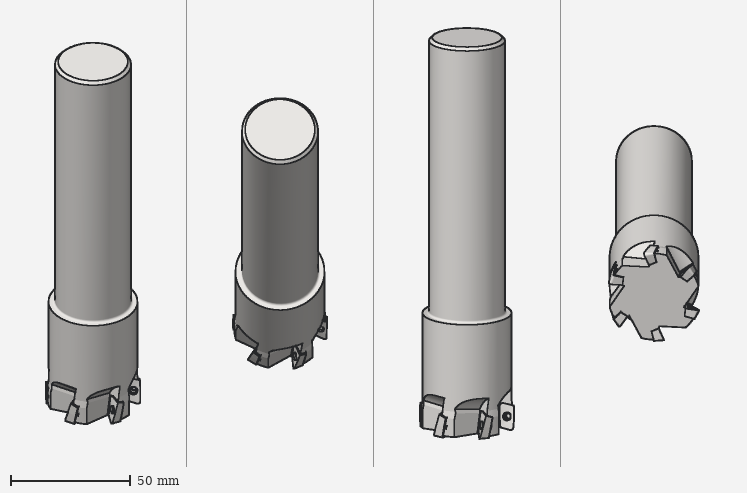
import cadquery as cq
import math

TOOTH_COUNT = 6
TOOTH_PITCH = 360 / TOOTH_COUNT

TOTAL_LENGTH = 170.0
SHANK_DIAMETER = 32.0
SHANK_CHAMFER = 1.4
SHOULDER_HEIGHT = 50.0
SHOULDER_FILLET = 1.0
BODY_DIAMETER = 37.4
HEAD_DIAMETER = 38.5
HEAD_BOTTOM = 0.8
HEAD_CONE_START = 8.8
HEAD_CONE_END = 11.9

GULLET_CORNER_RADIAL = 13.5
GULLET_CORNER_TANGENTIAL = 0.7
GULLET_FLOOR_ANGLE = 16.0
GULLET_TILT = 8.0
GULLET_LENGTH = 15.3
GULLET_LEDGE_BOTTOM = 9.7
GULLET_LEDGE_TOP = 11.4
GULLET_LEDGE_DEPTH = 0.3
GULLET_EXIT_HEIGHT = 6.3
GULLET_EXIT_DEPTH = 6.5
GULLET_EXIT_RADIUS = 11.9
GULLET_REACH = 13.6
GULLET_OVERRUN = 3.4

INSERT_TILT = 11.0
INSERT_OUTER_EDGE = 20.0
INSERT_WIDTH = 6.5
INSERT_LENGTH = 11.7
INSERT_END_SLOPE = 0.8
INSERT_NOSE_RADIUS = 1.4
INSERT_SIDE_SLOPE = 0.3
INSERT_SIDE_CROWN = 0.1
INSERT_RELIEF_ANGLE = 12.0
INSERT_HIGH_THICKNESS = 4.2
INSERT_LOW_THICKNESS = 3.0
INSERT_HOLE_DIAMETER = 2.7
INSERT_COUNTERBORE_DIAMETER = 3.4
INSERT_COUNTERBORE_FLOOR = 2.7
SCREW_HOLE_DIAMETER = 2.5
SCREW_HOLE_DEPTH = 0.5


def make_gullet_plane():
    """X runs out from the gullet floor, Y up along it, and the normal along the cut."""
    floor = math.radians(GULLET_FLOOR_ANGLE)
    tilt = math.radians(GULLET_TILT)
    return cq.Plane(
        origin=(GULLET_CORNER_RADIAL, GULLET_CORNER_TANGENTIAL, 0),
        xDir=(math.cos(floor), math.sin(floor), 0),
        normal=(
            math.sin(floor) * math.cos(tilt),
            -math.cos(floor) * math.cos(tilt),
            math.sin(tilt),
        ),
    )


def make_seat_plane():
    """X is radial, Y up along the seat, and the normal points to the cutting side."""
    tilt = math.radians(INSERT_TILT)
    normal = cq.Vector(0, -math.cos(tilt), math.sin(tilt))
    upward = cq.Vector(0, math.sin(tilt), math.cos(tilt))
    center = cq.Vector(INSERT_OUTER_EDGE - INSERT_WIDTH / 2, 0, 0)
    end_angle = math.atan(INSERT_END_SLOPE / INSERT_WIDTH)
    nose_lift = INSERT_NOSE_RADIUS * (math.tan(end_angle) + 1 / math.cos(end_angle) - 1)
    center += upward * (INSERT_LENGTH / 2 - nose_lift) - normal * INSERT_HIGH_THICKNESS
    return cq.Plane(origin=center, xDir=(1, 0, 0), normal=normal)


SEAT_PLANE = make_seat_plane()


def make_holder_blank():
    """Turned shape: flared head, body and chamfered shank."""
    shank_radius = SHANK_DIAMETER / 2
    body_radius = BODY_DIAMETER / 2
    head_radius = HEAD_DIAMETER / 2
    fillet_middle = SHOULDER_FILLET * (1 - math.sqrt(0.5))
    return (
        cq.Workplane("XZ")
        .moveTo(0, HEAD_BOTTOM)
        .lineTo(head_radius, HEAD_BOTTOM)
        .lineTo(head_radius, HEAD_CONE_START)
        .lineTo(body_radius, HEAD_CONE_END)
        .lineTo(body_radius, SHOULDER_HEIGHT)
        .lineTo(shank_radius + SHOULDER_FILLET, SHOULDER_HEIGHT)
        .threePointArc(
            (shank_radius + fillet_middle, SHOULDER_HEIGHT + fillet_middle),
            (shank_radius, SHOULDER_HEIGHT + SHOULDER_FILLET),
        )
        .lineTo(shank_radius, TOTAL_LENGTH - SHANK_CHAMFER)
        .lineTo(shank_radius - SHANK_CHAMFER, TOTAL_LENGTH)
        .lineTo(0, TOTAL_LENGTH)
        .close()
        .revolve(360, (0, 0, 0), (0, 1, 0))
    )


def make_gullet_cutter():
    """Flat floor, a ledge into a deeper floor above it, and a round run-out at the top."""
    exit_top = GULLET_LEDGE_TOP + GULLET_EXIT_HEIGHT
    return (
        cq.Workplane(make_gullet_plane())
        .moveTo(0, -GULLET_OVERRUN)
        .lineTo(0, GULLET_LEDGE_BOTTOM)
        .lineTo(-GULLET_LEDGE_DEPTH, GULLET_LEDGE_TOP)
        .radiusArc((GULLET_EXIT_DEPTH - GULLET_LEDGE_DEPTH, exit_top), GULLET_EXIT_RADIUS)
        .lineTo(GULLET_REACH, exit_top)
        .lineTo(GULLET_REACH, -GULLET_OVERRUN)
        .close()
        .extrude(GULLET_LENGTH)
    )


def make_insert_prism():
    """Flanks of the insert, narrowing to the seat.

    Each side bends at its middle, and the two cutting noses are rounded.
    """
    half_width = INSERT_WIDTH / 2
    half_length = INSERT_LENGTH / 2
    side_step = INSERT_SIDE_SLOPE / 2 - INSERT_SIDE_CROWN
    outline = (
        cq.Sketch()
        .polygon(
            [
                (half_width, -half_length),
                (half_width - side_step, 0),
                (half_width - INSERT_SIDE_SLOPE, half_length - INSERT_END_SLOPE),
                (-half_width, half_length),
                (side_step - half_width, 0),
                (INSERT_SIDE_SLOPE - half_width, INSERT_END_SLOPE - half_length),
                (half_width, -half_length),
            ]
        )
        .vertices("<Y or >Y")
        .fillet(INSERT_NOSE_RADIUS)
    )
    return (
        cq.Workplane(SEAT_PLANE)
        .workplane(offset=INSERT_HIGH_THICKNESS)
        .placeSketch(outline)
        .extrude(-INSERT_HIGH_THICKNESS, taper=INSERT_RELIEF_ANGLE)
    )


def make_rake_envelope():
    """Block whose top is twisted: high at the two cutting noses, low at the other corners."""
    half_width = INSERT_WIDTH / 2
    half_length = INSERT_LENGTH / 2

    def section(across, lower_thickness, upper_thickness):
        corners = [
            (across, -half_length, 0),
            (across, half_length, 0),
            (across, half_length, upper_thickness),
            (across, -half_length, lower_thickness),
        ]
        points = [SEAT_PLANE.toWorldCoords(corner) for corner in corners]
        return cq.Wire.makePolygon(points, close=True)

    inner = section(-half_width, INSERT_LOW_THICKNESS, INSERT_HIGH_THICKNESS)
    outer = section(half_width, INSERT_HIGH_THICKNESS, INSERT_LOW_THICKNESS)
    return cq.Workplane(cq.Solid.makeLoft([inner, outer], ruled=True))


def make_insert(prism):
    """Twist the rake face, then drill the screw hole and its counterbore."""
    hole = cq.Workplane(SEAT_PLANE).circle(INSERT_HOLE_DIAMETER / 2).extrude(INSERT_HIGH_THICKNESS)
    counterbore = (
        cq.Workplane(SEAT_PLANE)
        .workplane(offset=INSERT_COUNTERBORE_FLOOR)
        .circle(INSERT_COUNTERBORE_DIAMETER / 2)
        .extrude(INSERT_HIGH_THICKNESS)
    )
    return prism.intersect(make_rake_envelope()).cut(hole).cut(counterbore)


def make_screw_hole():
    """Shallow hole in the holder, below the insert seat."""
    return cq.Workplane(SEAT_PLANE).circle(SCREW_HOLE_DIAMETER / 2).extrude(-SCREW_HOLE_DEPTH)


def at_tooth(shape, index):
    """Turn a shape from tooth 0 to the given tooth."""
    return shape.rotate((0, 0, 0), (0, 0, 1), index * TOOTH_PITCH)


def make_holder(pocket_cutter):
    """Cut a gullet, an insert pocket and a screw hole for each tooth."""
    holder = make_holder_blank()
    cutters = [make_gullet_cutter(), pocket_cutter, make_screw_hole()]
    for index in range(TOOTH_COUNT):
        for cutter in cutters:
            holder = holder.cut(at_tooth(cutter, index))
    return holder


insert_prism = make_insert_prism()
insert = make_insert(insert_prism)

holder = make_holder(insert_prism)
inserts = [at_tooth(insert, index) for index in range(TOOTH_COUNT)]

result = cq.Compound.makeCompound([holder.val(), *[item.val() for item in inserts]])